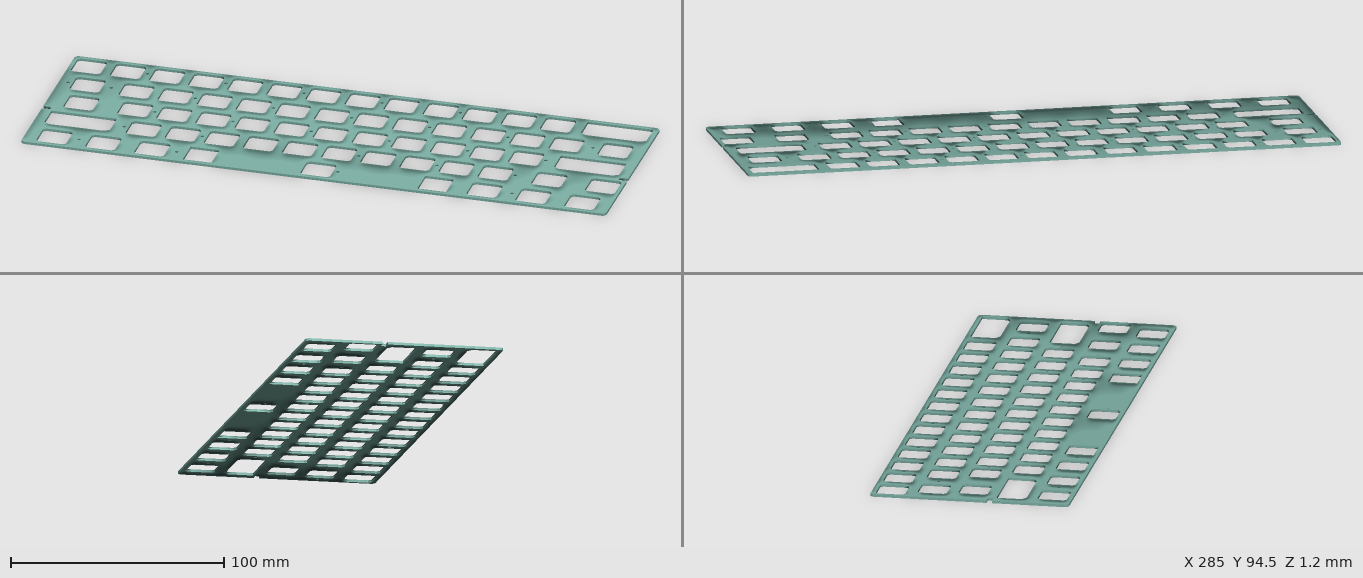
import cadquery as cq

length = 285.0
depth = 94.5
thickness = 1.2
corner_radius = 2.0

quarters_per_key = 4
grid_keys = 15
grid_quarters = grid_keys * quarters_per_key
grid_rows = 5
grid_overhang = 0.75
key_pitch = (length + grid_overhang) / grid_keys
quarter = key_pitch / quarters_per_key

cutout_height = 14.0
side_relief = 0.3
switch_width = cutout_height + 2 * side_relief
switch_chamfer = 1.28

long_key_width = 32.0
long_chamfer_x = 2.8
long_chamfer_y = 1.7

space_end_width = 14.0
space_end_keys = 3
space_end_offset = space_end_keys * key_pitch

hole_diameter = 1.62

notch_depth = 4.0
notch_height = 2.5
rows_above_notch = 3

single, one_half, one_three_quarter, double, two_quarter = 4, 6, 7, 8, 9
space_bar = 28
long_keys = (double, two_quarter)
key_rows = [
    [single] * 13 + [double],
    [one_half] + [single] * 12 + [one_half],
    [one_three_quarter] + [single] * 11 + [two_quarter],
    [two_quarter] + [single] * 10 + [one_three_quarter, single],
    [one_half, single, one_half, space_bar, one_half, single, one_half],
]

hole_rows = [
    [8, 16, 24, 32, 40],
    [1, 5.4, 14, 22, 30, 38, 46, 54.7],
    [11, 19, 27, 35, 43, 51],
    [9, 17, 33, 41, 49],
    [5.5, 15.5, 32, 49.8],
]


def grid_point(quarters, row):
    """Point on the centre line of a row; rows count downwards from 0."""
    x = (quarters - grid_quarters / 2) * quarter
    y = ((grid_rows - 1) / 2 - row) * key_pitch
    return (x, y)


def keys():
    """Width in quarters and centre point of every key."""
    found = []
    for row, widths in enumerate(key_rows):
        start = 0
        for width in widths:
            found.append((width, grid_point(start + width / 2, row)))
            start += width
    return found


def rectangles(points, width, height):
    return cq.Workplane("XY").pushPoints(points).rect(width, height).extrude(thickness)


def switch_cutouts():
    points = [point for width, point in keys() if width not in long_keys]
    blocks = rectangles(points, switch_width, cutout_height)
    return blocks.edges("|Z").chamfer(switch_chamfer)


def long_key_cutouts():
    half_width = long_key_width / 2
    half_height = cutout_height / 2
    outline = [
        (-half_width, half_height),
        (half_width, half_height),
        (half_width, -half_height + long_chamfer_y),
        (half_width - long_chamfer_x, -half_height),
        (-half_width + long_chamfer_x, -half_height),
        (-half_width, -half_height + long_chamfer_y),
    ]
    block = cq.Workplane("XY").polyline(outline).close().extrude(thickness)
    cutouts = cq.Workplane("XY")
    for width, (x, y) in keys():
        if width in long_keys:
            cutouts = cutouts.add(block.translate((x, y, 0)))
    return cutouts.combine()


def space_bar_end_cutouts():
    points = []
    for width, (x, y) in keys():
        if width == space_bar:
            points += [(x - space_end_offset, y), (x + space_end_offset, y)]
    return rectangles(points, space_end_width, cutout_height)


def small_holes():
    points = [grid_point(place, row) for row, places in enumerate(hole_rows) for place in places]
    return cq.Workplane("XY").pushPoints(points).circle(hole_diameter / 2).extrude(thickness)


def side_notches():
    y = (grid_rows / 2 - rows_above_notch) * key_pitch
    return rectangles([(-length / 2, y), (length / 2, y)], 2 * notch_depth, notch_height)


plate = cq.Workplane("XY").box(length, depth, thickness, centered=(True, True, False))
plate = plate.edges("|Z").fillet(corner_radius)

result = (
    plate
    .cut(switch_cutouts())
    .cut(long_key_cutouts())
    .cut(space_bar_end_cutouts())
    .cut(small_holes())
    .cut(side_notches())
)